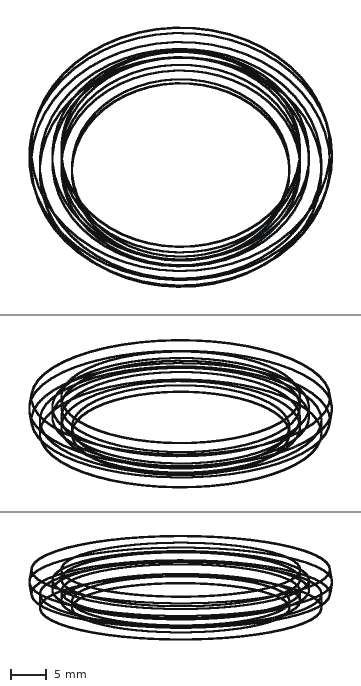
import cadquery as cq
import math

rim_diameter = 42.5
rim_bevel_angle = 10.0
spigot_diameter = 39.5
rim_height = 3.5
spigot_height = 2.0
total_height = rim_height + spigot_height

bore_diameter = 33.5
groove_diameter = 36.0
stop_diameter = 30.5
groove_floor_width = 1.5
groove_flank_angle = 5.0
stop_height = 1.0

bore_depth = total_height - stop_height
groove_middle = stop_height + bore_depth / 2


def disc(diameter, bottom, height):
    return cq.Workplane("XY").workplane(offset=bottom).circle(diameter / 2).extrude(height)


def revolved(profile):
    """Solid of revolution about Z from (radius, height) points."""
    return cq.Workplane("XZ").polyline(profile).close().revolve(360, (0, 0, 0), (0, 1, 0))


def bevelled_rim():
    """Rim whose outer wall slopes out to a ridge at mid-height and back in."""
    ridge_radius = rim_diameter / 2
    bevel_height = rim_height / 2
    edge_radius = ridge_radius - bevel_height * math.tan(math.radians(rim_bevel_angle))
    return revolved([
        (0, spigot_height),
        (edge_radius, spigot_height),
        (ridge_radius, spigot_height + bevel_height),
        (edge_radius, total_height),
        (0, total_height),
    ])


def tapered_groove():
    """Disc with a tapered edge that leaves a groove in the bore, narrower at its floor."""
    mouth_radius = bore_diameter / 2
    floor_radius = groove_diameter / 2
    flank_rise = (floor_radius - mouth_radius) * math.tan(math.radians(groove_flank_angle))
    half_floor = groove_floor_width / 2
    half_mouth = half_floor + flank_rise
    return revolved([
        (0, groove_middle - half_mouth),
        (mouth_radius, groove_middle - half_mouth),
        (floor_radius, groove_middle - half_floor),
        (floor_radius, groove_middle + half_floor),
        (mouth_radius, groove_middle + half_mouth),
        (0, groove_middle + half_mouth),
    ])


def stepped_bore():
    """Material removed inside: through hole, wider bore and internal groove."""
    through_hole = disc(stop_diameter, 0, total_height)
    bore = disc(bore_diameter, stop_height, bore_depth)
    return through_hole.union(bore).union(tapered_groove())


spigot = disc(spigot_diameter, 0, spigot_height)
result = bevelled_rim().union(spigot).cut(stepped_bore())